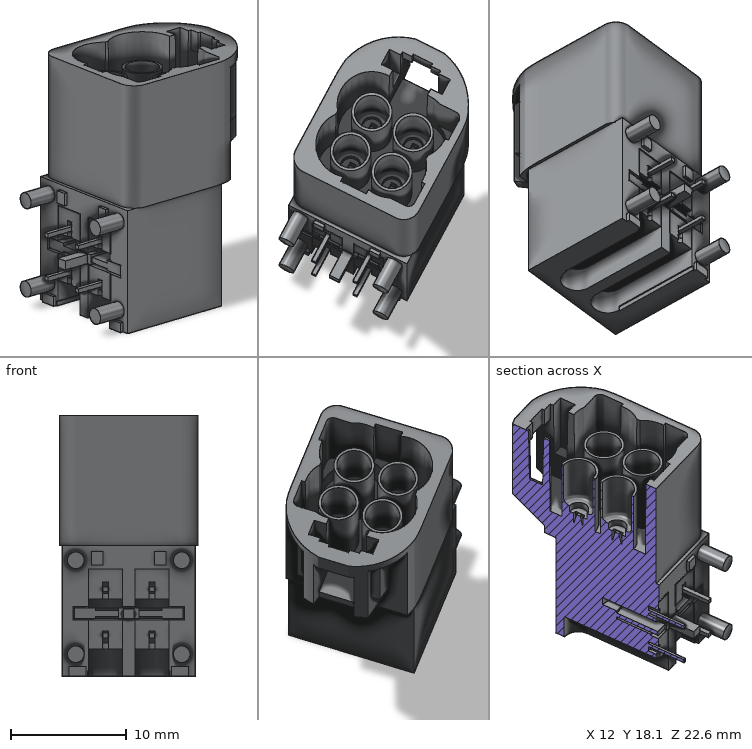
import cadquery as cq
import math


HEIGHT = 22.55
SHELL_HALF_WIDTH = 6.0
BASE_HALF_WIDTH = 5.75
BASE_DEPTH = 10.75
BASE_HEIGHT = 11.3

SHELL_FRONT = 0.32
SHELL_BACK = 15.4
SHELL_CORNER_RADIUS = 1.49
DOME_RADIUS = 6.07
DOME_CENTER_Y = 9.5
SIDE_BLEND_START_Y = 9.38
SIDE_BLEND_END_Y = 10.98

BODY_BACK = 11.9
LIP_BOTTOM = 21.6
LATCH_HALF_WIDTH = 2.98
LATCH_BOTTOM = 12.1
EAR_HALF_WIDTH = 3.79
EAR_BACK = 14.05
EAR_BOTTOM = 14.84
SLOPE = 0.64

CONTACT_X = 2.0
ROW_Y = (4.4, 8.39)
CAVITY_RADIUS = 3.0
CAVITY_DRAFT = 0.5
CAVITY_FLOOR = 14.2
CUSP_HALF_WIDTH = 4.37
CUSP_HALF_LENGTH = 0.25

TUBE_TOP = 20.4
TUBE_DIAMETER = 3.5
BORE_DIAMETER = 3.0
SEAT_DIAMETER = 2.0
SOCKET_DIAMETER = 1.75
BORE_DEPTH = 4.5
SOCKET_DEPTH = 0.68
PIN_SIZE = 0.4
SLOT_WIDTH = 0.52
SLOT_LENGTH = 0.95
SLOT_DEPTH = 1.13

CHANNEL_HALF_WIDTH = 1.85
CHANNEL_BACK = 13.85
NOTCH_HALF_WIDTH = 0.92
NOTCH_BACK = 14.1
SILL_BACK = 13.91
WINDOW_TOP = 20.72
EAR_POCKET_HALF_WIDTH = 2.95
EAR_POCKET_Y = (12.02, 13.53)
EAR_POCKET_FLOOR = 16.91
EAR_POCKET_DRAFT = 1.0
KEY_HALF_WIDTH = 1.25
KEY_FRONT = 1.05
KEY_FLOOR = 16.91
CORNER_POCKET_X = 5.32
CORNER_POCKET_Y = ((1.67, 4.2), (8.61, 11.16))
CORNER_POCKET_RADIUS = 0.59
CORNER_POCKET_FLOOR = 15.78

BAY_WIDTH = 2.9
BAY_TOP = 9.27
BAY_RECESS = 0.1
RELIEF_WIDTH = 0.1
RELIEF_HEIGHT = 0.45
PIN_SLOT_DEPTH = 1.13
LOWER_VOID_TOP = 2.37
UPPER_VOID_TOP = 6.7
PIN_Z = (3.55, 7.53)
PIN_SLOT_OFFSET = 0.14
PIN_SLOT_HEIGHT = 1.01
PIN_TIP = 2.55
PIN_ROOT = 1.35

SHIELD_Z = (5.0, 5.93)
SHIELD_TAB_Z = (5.0, 5.85)
SHIELD_HALF_WIDTH = 4.7
SHIELD_FRONT = 0.14
SHIELD_BACK = 6.09
SHIELD_SLOT_Z = (4.87, 6.05)
SHIELD_SLOT_HALF_WIDTH = 4.83
SHIELD_SLOT_DEPTH = 0.9
SHIELD_HUB_HALF_WIDTH = 0.9
SHIELD_THIN_HALF_WIDTH = 2.89
SHIELD_THIN_Z = (5.16, 5.68)
SHIELD_TAB_HALF_WIDTH = 0.47

POST_DIAMETER = 1.45
POST_LENGTH = 2.7
POST_X = 4.58
POST_Z = (1.92, 10.03)
PAD_HEIGHT = 0.3
UPPER_PAD_X = (2.23, 3.2)
UPPER_PAD_Z = (9.63, 10.78)
LOWER_PAD_X = (3.68, 5.16)
LOWER_PAD_Z = (0, 0.88)


def block(x_range, y_range, z_range):
    """Box between the given limits."""
    return cq.Workplane("XY").box(
        x_range[1] - x_range[0], y_range[1] - y_range[0], z_range[1] - z_range[0], centered=False
    ).translate((x_range[0], y_range[0], z_range[0]))


def wide_block(half_width, y_range, z_range):
    """Box symmetric about the X = 0 plane."""
    return block((-half_width, half_width), y_range, z_range)


def upright(x, y, diameter, z_range):
    """Vertical cylinder."""
    return (
        cq.Workplane("XY", origin=(x, y, z_range[0]))
        .circle(diameter / 2)
        .extrude(z_range[1] - z_range[0])
    )


def under_slope(half_width, back, bottom):
    """Housing behind the body whose underside rises towards the back."""
    return (
        cq.Workplane("YZ")
        .polyline([
            (BODY_BACK, bottom),
            (back, bottom + SLOPE * (back - BODY_BACK)),
            (back, HEIGHT),
            (BODY_BACK, HEIGHT),
        ])
        .close()
        .extrude(half_width, both=True)
    )


def shell():
    """Upper shell with a domed back, cut away around the latch housing and its ears."""
    blend_x = math.sqrt(DOME_RADIUS**2 - (SIDE_BLEND_END_Y - DOME_CENTER_Y)**2)
    flat_x = math.sqrt(DOME_RADIUS**2 - (SHELL_BACK - DOME_CENTER_Y)**2)
    diagonal = DOME_RADIUS * math.cos(math.pi / 4)
    right_half = (
        cq.Workplane("XY", origin=(0, 0, BASE_HEIGHT))
        .moveTo(0, SHELL_FRONT)
        .lineTo(SHELL_HALF_WIDTH, SHELL_FRONT)
        .lineTo(SHELL_HALF_WIDTH, SIDE_BLEND_START_Y)
        .tangentArcPoint((blend_x, SIDE_BLEND_END_Y), relative=False)
        .threePointArc((diagonal, DOME_CENTER_Y + diagonal), (flat_x, SHELL_BACK))
        .lineTo(0, SHELL_BACK)
        .close()
        .extrude(HEIGHT - BASE_HEIGHT)
    )
    outline = right_half.union(right_half.mirror("YZ")).clean()
    outline = outline.edges("|Z and <Y").fillet(SHELL_CORNER_RADIUS)
    kept = wide_block(SHELL_HALF_WIDTH, (0, BODY_BACK), (BASE_HEIGHT, HEIGHT))
    kept = kept.union(wide_block(SHELL_HALF_WIDTH, (BODY_BACK, SHELL_BACK), (LIP_BOTTOM, HEIGHT)))
    kept = kept.union(under_slope(LATCH_HALF_WIDTH, SHELL_BACK, LATCH_BOTTOM))
    kept = kept.union(under_slope(EAR_HALF_WIDTH, EAR_BACK, EAR_BOTTOM))
    return outline.intersect(kept)


def lobe(x, y):
    """Round lobe of the cavity, narrowing slightly towards the floor."""
    return (
        cq.Workplane("XY", origin=(x, y, HEIGHT))
        .circle(CAVITY_RADIUS)
        .extrude(CAVITY_FLOOR - HEIGHT, taper=CAVITY_DRAFT)
    )


def ear_pockets():
    """Drafted pocket reaching past both sides of the latch channel."""
    length = EAR_POCKET_Y[1] - EAR_POCKET_Y[0]
    return (
        cq.Workplane("XY", origin=(0, sum(EAR_POCKET_Y) / 2, HEIGHT))
        .rect(2 * EAR_POCKET_HALF_WIDTH, length)
        .extrude(EAR_POCKET_FLOOR - HEIGHT, taper=EAR_POCKET_DRAFT)
    )


def cavity():
    """Four-lobed mating cavity with the latch channel and the coding pockets."""
    upper = (CAVITY_FLOOR, HEIGHT)
    middle_y = sum(ROW_Y) / 2
    hollow = wide_block(CONTACT_X, ROW_Y, upper)
    for x in (-CONTACT_X, CONTACT_X):
        for y in ROW_Y:
            hollow = hollow.union(lobe(x, y))
    cusp_y = (middle_y - CUSP_HALF_LENGTH, middle_y + CUSP_HALF_LENGTH)
    hollow = hollow.union(wide_block(CUSP_HALF_WIDTH, cusp_y, upper))
    cusp_front = middle_y - CUSP_HALF_WIDTH
    hollow = hollow.union(wide_block(CUSP_HALF_LENGTH, (cusp_front, middle_y), upper))

    hollow = hollow.union(wide_block(CHANNEL_HALF_WIDTH, (middle_y, CHANNEL_BACK), upper))
    hollow = hollow.union(wide_block(NOTCH_HALF_WIDTH, (middle_y, NOTCH_BACK), upper))
    hollow = hollow.union(ear_pockets())
    hollow = hollow.union(
        wide_block(KEY_HALF_WIDTH, (KEY_FRONT, ROW_Y[0]), (KEY_FLOOR, HEIGHT))
    )
    corners = block(
        (CONTACT_X, CORNER_POCKET_X),
        (CORNER_POCKET_Y[0][0], CORNER_POCKET_Y[1][1]),
        (CORNER_POCKET_FLOOR, HEIGHT),
    ).edges("|Z and >X").fillet(CORNER_POCKET_RADIUS)
    land = block(
        (CUSP_HALF_WIDTH, SHELL_HALF_WIDTH),
        (CORNER_POCKET_Y[0][1], CORNER_POCKET_Y[1][0]),
        upper,
    )
    return hollow.union(corners.cut(land))


def latch_window():
    """Opening through the back of the latch housing, as wide as the latch channel."""
    above_sill = (CAVITY_FLOOR, WINDOW_TOP)
    below_sill = (BASE_HEIGHT, CAVITY_FLOOR)
    opening = wide_block(CHANNEL_HALF_WIDTH, (CHANNEL_BACK, SHELL_BACK), above_sill)
    return opening.union(wide_block(CHANNEL_HALF_WIDTH, (SILL_BACK, SHELL_BACK), below_sill))


def contact_tube(x, y):
    """Tube on the cavity floor, and its bore with a rounded seat, a socket and a pin tip inside."""
    seat_z = TUBE_TOP - BORE_DEPTH
    socket_floor = seat_z - SOCKET_DEPTH
    slot_floor = socket_floor - SLOT_DEPTH
    tube = upright(x, y, TUBE_DIAMETER, (CAVITY_FLOOR, TUBE_TOP))
    bore = upright(x, y, BORE_DIAMETER, (seat_z, TUBE_TOP))
    bore = bore.faces("<Z").edges().fillet((BORE_DIAMETER - SEAT_DIAMETER) / 2)
    socket = upright(x, y, SOCKET_DIAMETER, (socket_floor, seat_z))
    slot = block(
        (x - SLOT_WIDTH / 2, x + SLOT_WIDTH / 2),
        (y - SLOT_LENGTH / 2, y + SLOT_LENGTH / 2),
        (slot_floor, socket_floor),
    )
    pin_tip = (
        cq.Workplane("YZ", origin=(x, y, 0))
        .polyline([
            (-SLOT_LENGTH / 2, slot_floor),
            (SLOT_LENGTH / 2, slot_floor),
            (PIN_SIZE / 2, socket_floor),
            (-PIN_SIZE / 2, socket_floor),
        ])
        .close()
        .extrude(PIN_SIZE / 2, both=True)
    )
    return tube, bore.union(socket).union(slot).cut(pin_tip)


def bay_void(x, axis_y, z_range):
    """Round-ended slot open at the board face."""
    reach = block((x - BAY_WIDTH / 2, x + BAY_WIDTH / 2), (0, axis_y), z_range)
    return reach.union(upright(x, axis_y, BAY_WIDTH, z_range))


def cut_pin_slot(body, x, center_z, bay_bottom):
    """Slot around a pin, with a round groove below it down to the void."""
    slot_z = (center_z - PIN_SLOT_HEIGHT / 2, center_z + PIN_SLOT_HEIGHT / 2)
    body = body.cut(
        block((x - SLOT_WIDTH / 2, x + SLOT_WIDTH / 2), (0, PIN_SLOT_DEPTH), slot_z)
    )
    return body.cut(upright(x, BAY_RECESS, SLOT_WIDTH, (bay_bottom, slot_z[0])))


def cut_bays(body):
    """Contact bays: a shallow recess, an upper and a lower void, and the slots for the pins."""
    for side in (-1, 1):
        x = side * CONTACT_X
        body = body.cut(
            block((x - BAY_WIDTH / 2, x + BAY_WIDTH / 2), (0, BAY_RECESS), (0, BAY_TOP))
        )
        body = body.cut(bay_void(x, ROW_Y[1], (0, LOWER_VOID_TOP)))
        body = body.cut(bay_void(x, ROW_Y[0], (SHIELD_Z[0], UPPER_VOID_TOP)))
        body = cut_pin_slot(body, x, PIN_Z[0] - PIN_SLOT_OFFSET, LOWER_VOID_TOP)
        body = cut_pin_slot(body, x, PIN_Z[1] + PIN_SLOT_OFFSET, UPPER_VOID_TOP)
    relief_half_width = CONTACT_X + BAY_WIDTH / 2 + RELIEF_WIDTH
    relief = wide_block(relief_half_width, (0, ROW_Y[1]), (0, RELIEF_HEIGHT))
    return body.cut(relief.cut(wide_block(CONTACT_X, (0, ROW_Y[1]), (0, RELIEF_HEIGHT))))


def add_pins(body):
    """Square pins reaching out of the board face."""
    for x in (-CONTACT_X, CONTACT_X):
        for z in PIN_Z:
            body = body.union(block(
                (x - PIN_SIZE / 2, x + PIN_SIZE / 2),
                (-PIN_TIP, PIN_ROOT),
                (z - PIN_SIZE / 2, z + PIN_SIZE / 2),
            ))
    return body


def add_shield(body):
    """Shield plate in its slot, thinner beside the hub, with a tab towards the board."""
    body = body.cut(
        wide_block(SHIELD_SLOT_HALF_WIDTH, (0, SHIELD_SLOT_DEPTH), SHIELD_SLOT_Z)
    )
    body = body.union(wide_block(SHIELD_HALF_WIDTH, (SHIELD_FRONT, SHIELD_BACK), SHIELD_Z))
    for z_range in ((SHIELD_Z[0], SHIELD_THIN_Z[0]), (SHIELD_THIN_Z[1], SHIELD_Z[1])):
        body = body.cut(wide_block(SHIELD_THIN_HALF_WIDTH, (0, ROW_Y[0]), z_range))
    body = body.union(wide_block(SHIELD_HUB_HALF_WIDTH, (0, SHIELD_BACK), SHIELD_Z))
    return body.union(wide_block(SHIELD_TAB_HALF_WIDTH, (-PIN_TIP, SHIELD_BACK), SHIELD_TAB_Z))


def add_posts_and_pads(body):
    """Four round posts and four flat pads on the board face."""
    for side in (-1, 1):
        for z in POST_Z:
            post = (
                cq.Workplane("XZ", origin=(side * POST_X, 0, z))
                .circle(POST_DIAMETER / 2)
                .extrude(POST_LENGTH)
            )
            body = body.union(post)
    for (inner, outer), z_range in ((UPPER_PAD_X, UPPER_PAD_Z), (LOWER_PAD_X, LOWER_PAD_Z)):
        for x_range in ((inner, outer), (-outer, -inner)):
            body = body.union(block(x_range, (-PAD_HEIGHT, 0), z_range))
    return body


body = wide_block(BASE_HALF_WIDTH, (0, BASE_DEPTH), (0, BASE_HEIGHT)).union(shell())
body = body.cut(cavity()).cut(latch_window())
for contact_x in (-CONTACT_X, CONTACT_X):
    for contact_y in ROW_Y:
        tube, tube_hole = contact_tube(contact_x, contact_y)
        body = body.union(tube).cut(tube_hole)
body = cut_bays(body)
body = add_shield(body)
body = add_pins(body)
result = add_posts_and_pads(body)